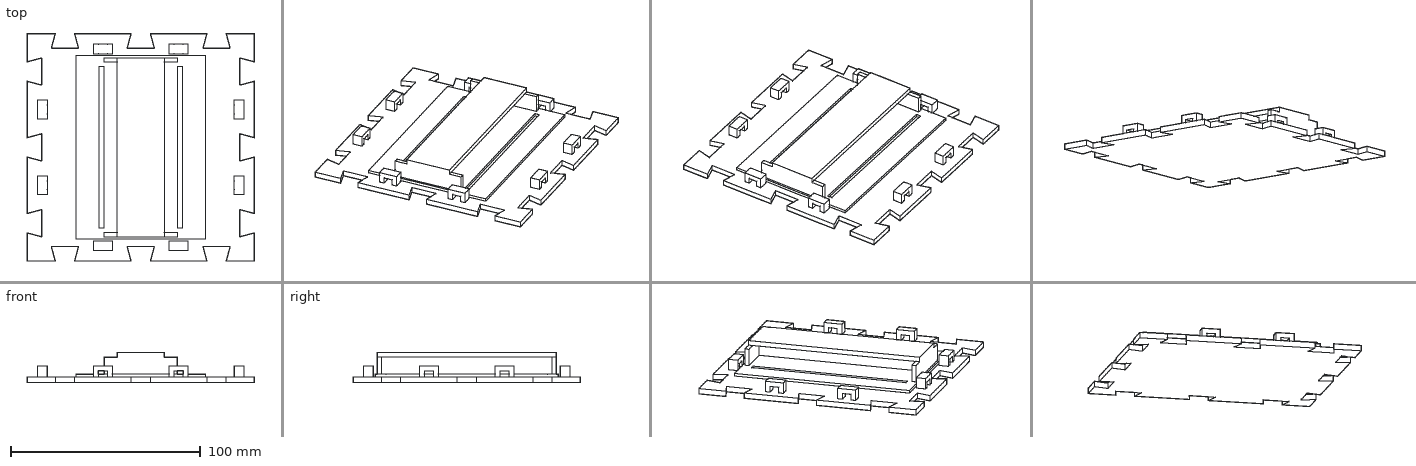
import cadquery as cq
import math

tile_side = 120.0
tile_thickness = 3.0
socket_pitch = tile_side / 3
socket_mouth = 10.1
socket_depth = 7.7
socket_angle = 15.0
socket_floor = socket_mouth + 2 * socket_depth * math.tan(math.radians(socket_angle))

loop_width = 10.0
loop_depth = 5.2
loop_wall = 2.6
loop_opening_height = 3.1
loop_height = loop_opening_height + loop_wall
loop_inset = 5.5
loop_offset = socket_pitch / 2
loop_centre_distance = tile_side / 2 - loop_inset - loop_depth / 2

total_height = 16.0
flange_width = 68.4
flange_length = 96.7
flange_thickness = 1.5
frame_length = 94.5
frame_width = 38.5
wall_thickness = 2.3
slab_width = 25.0
slab_thickness = 2.5
slot_width = 2.5
slot_length = 85.2
slot_centre = 20.8
flange_top = tile_thickness + flange_thickness
slab_bottom = total_height - slab_thickness
frame_height = slab_bottom - flange_top


def block(width, length, height, bottom):
    """Box centred on the Z axis, resting at the given height."""
    return (
        cq.Workplane("XY")
        .workplane(offset=bottom)
        .box(width, length, height, centered=(True, True, False))
    )


def make_tile():
    tile = block(tile_side, tile_side, tile_thickness, 0)
    edge = -tile_side / 2
    socket = (
        cq.Workplane("XY")
        .polyline([
            (-socket_mouth / 2, edge),
            (socket_mouth / 2, edge),
            (socket_floor / 2, edge + socket_depth),
            (-socket_floor / 2, edge + socket_depth),
        ])
        .close()
        .extrude(tile_thickness)
    )
    for quarter_turn in range(4):
        for step in (-1, 0, 1):
            shifted_socket = socket.translate((step * socket_pitch, 0, 0))
            tile = tile.cut(shifted_socket.rotate((0, 0, 0), (0, 0, 1), 90 * quarter_turn))
    return tile


def make_loop(offset, angle):
    """Bridge near the -Y side, shifted along X and then turned about the Z axis."""
    loop = block(loop_width, loop_depth, loop_height, tile_thickness)
    opening = block(loop_width - 2 * loop_wall, loop_depth, loop_opening_height, tile_thickness)
    return (
        loop.cut(opening)
        .translate((offset, -loop_centre_distance, 0))
        .rotate((0, 0, 0), (0, 0, 1), angle)
    )


def make_holder():
    holder = block(flange_width, flange_length, flange_thickness, tile_thickness)
    slot = block(slot_width, slot_length, flange_thickness, tile_thickness)
    end_wall = block(frame_width, wall_thickness, frame_height, flange_top)
    wall_centre = (frame_length - wall_thickness) / 2
    for side in (-1, 1):
        holder = holder.cut(slot.translate((side * slot_centre, 0, 0)))
        holder = holder.union(end_wall.translate((0, side * wall_centre, 0)))
    web = block(wall_thickness, frame_length, frame_height, flange_top)
    slab = block(slab_width, frame_length, slab_thickness, slab_bottom)
    return holder.union(web).union(slab)


tile = make_tile()
holder = make_holder()
loops = []
for quarter_turn in range(4):
    for side in (-1, 1):
        loops.append(make_loop(side * loop_offset, 90 * quarter_turn))

result = cq.Compound.makeCompound([tile.val(), holder.val(), *[loop.val() for loop in loops]])